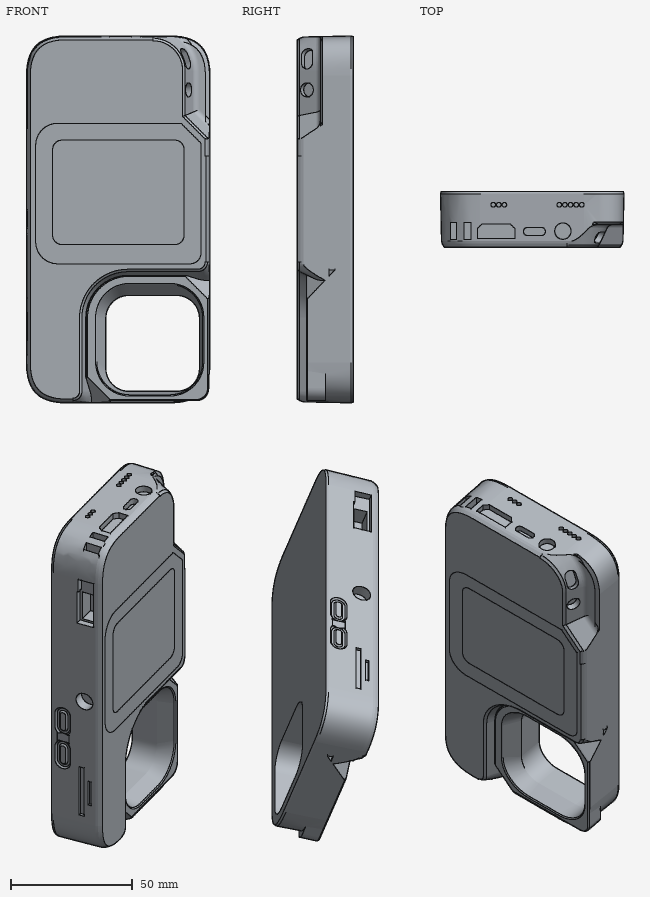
import cadquery as cq
import math


WIDTH = 75.29
HEIGHT = 150.48
DEPTH = 23.0
CORNER_LEG = 16.4
CORNER_FULLNESS = 0.69
HALF_W = WIDTH / 2
HALF_H = HEIGHT / 2
BACK_Y = DEPTH / 2
FRONT_Y = -DEPTH / 2

SHELL_PROFILE = [
    (BACK_Y, 0.3),
    (BACK_Y - 1.0, 0.0),
    (FRONT_Y + 2.6, 0.4),
    (FRONT_Y + 1.5, 0.75),
    (FRONT_Y + 0.6, 1.25),
    (FRONT_Y, 1.6),
]

BLOCK_BEVEL = 1.0
BLOCK_LEAN = 25.5
BLOCK_DEPTH = 12.0
BLOCK_MARGIN = 5.0
BLOCK_RIGHT = HALF_W - 2.0
BLOCK_TOP = HALF_H - 2.0
BLOCK_BOTTOM = -HALF_H + 2.0
BLOCK_SMALL_RADIUS = 3.0
BLOCK_FOOT_RADIUS = 2.6

NOTCH_X = 26.4
NOTCH_RADIUS = 12.2
NOTCH_RAMP_TOP = 42.2
NOTCH_FLOOR_Y = -2.0
NOTCH_FOOT_RADIUS = 2.9
NOTCH_RIM_WIDTH = 1.9
NOTCH_RIM_DEPTH = 1.0
NUDGE = 0.01

CAMERA_WALL_X = -15.9
CAMERA_WALL_Z = -20.4
CAMERA_WALL_RADIUS = 20.0
RING_Y = FRONT_Y + 3.75
RING_LEFT = -12.6
RING_RIGHT = 36.6
RING_TOP = -23.3
RING_BOTTOM = -73.8
RING_LARGE_RADIUS = 17.0
RING_CORNER_RADIUS = 4.5
RING_CORNER_BACK_Y = 0.0
RING_UPPER_LEG = 9.2
RING_LOWER_LEG = 9.2
RING_BEVEL = 0.5
RING_SLOPE_REACH = 9.0
RING_SLOPE_STEEPNESS = 1.3
OPENING_MOUTH = (12.9, -49.3, 44.4, 46.2, 14.0)
OPENING_THROAT = (14.1, -50.8, 38.3, 39.2, 9.3)
OPENING_BEVEL = 0.5
THROAT_Y = 0.0

INLAY_THICKNESS = 1.5
FRAME_LEFT = -33.85
FRAME_RIGHT = 33.95
FRAME_TOP = 39.4
FRAME_BOTTOM = -18.2
FRAME_RADIUS = 9.0
FRAME_UPPER_RIGHT_CHAMFER = 8.2
FRAME_LOWER_RIGHT_RADIUS = 4.5
PAD_LEFT = -26.9
PAD_RIGHT = 27.0
PAD_TOP = 32.5
PAD_BOTTOM = -10.3
PAD_RADIUS = 3.8

PORT_DEPTH = 3.0
SPEAKER_Y = 6.0
SPEAKER_RADIUS = 0.95
SPEAKER_PITCH = 2.3
SPEAKER_GROUPS = [(-16.0, 3), (11.1, 5)]
PLUG_CENTER = (-14.8, -4.9)
PLUG_SIZE = (15.3, 6.0)
PLUG_CHAMFER = 1.8
USB_CENTER = (0.9, -4.95)
USB_SIZE = (9.0, 3.3)
JACK_CENTER = (12.55, -4.8)
JACK_RADIUS = 3.35
VENT_Y = -4.75
VENT_LENGTH = 6.9
VENT_DEPTH = 8.0
VENTS = [(-32.2, 2.5), (-26.55, 2.9)]

WINDOW_CENTER = (-4.15, 44.9)
WINDOW_SIZE = (7.6, 15.2)
WINDOW_DEPTH = 3.0
WINDOW_INNER_CENTER = (-4.2, 44.7)
WINDOW_INNER_SIZE = (5.6, 13.0)
WINDOW_INNER_DEPTH = 10.0
WINDOW_TAIL_LENGTH = 6.1
WINDOW_TAIL_WIDTH = 7.0
SIDE_HOLE_CENTER = (-3.8, 0.15)
SIDE_HOLE_RADIUS = 3.85
SIDE_HOLE_DEPTH = 5.0
SIDE_SLOTS = [(-2.5, -43.9, 2.2, 23.4), (-6.2, -43.85, 1.4, 11.5)]
SIDE_SLOT_DEPTH = 1.5
BUTTON_Y = 6.1
BUTTON_Z = [-12.4, -28.5]
BUTTON_LENGTH = 13.6
BUTTON_GROOVE_WIDTH = 7.4
BUTTON_WIDTH = 3.8
BUTTON_DEPTH = 0.8
BUTTON_NECK = (5.6, 4.0)

KEY_HOLE_Z = 53.1
KEY_HOLE_RADIUS = 2.9
KEY_SLOT_ANGLE = 20.0
KEY_SLOT_SIZE = (8.8, 5.0)
KEY_DEPTH = 3.0
KEY_Y = -7.5

DIAGONAL = math.sqrt(0.5)


def facing(y):
    """Sketch plane at depth y whose extrusions run toward the front."""
    return cq.Workplane("XZ", origin=(0, y, 0))


def box_between(x, y, z):
    size = [pair[1] - pair[0] for pair in (x, y, z)]
    return cq.Workplane().box(*size, centered=False).translate((x[0], y[0], z[0]))


def shell_outline(inset):
    """Outline of the shell moved inward; its full corners ease into the straight sides."""
    half_w = HALF_W - inset
    half_h = HALF_H - inset
    leg = CORNER_LEG - inset
    near = leg * (1 - CORNER_FULLNESS)
    corners = [(1, 1), (-1, 1), (-1, -1), (1, -1)]
    outline = cq.Workplane("XZ").moveTo(half_w, half_h - leg)
    for i, (sx, sz) in enumerate(corners):
        on_side = [(sx * half_w, sz * (half_h - leg)), (sx * half_w, sz * (half_h - near))]
        on_end = [(sx * (half_w - near), sz * half_h), (sx * (half_w - leg), sz * half_h)]
        curve = on_side + on_end
        if i % 2:
            curve.reverse()
        if i:
            outline = outline.lineTo(*curve[0])
        outline = outline.bezier(curve)
    return outline.close().wire().val()


def shell_layer(back, front):
    """Slice of the shell between two (Y, inset) levels."""
    wires = [shell_outline(inset).translate(cq.Vector(0, y, 0)) for y, inset in (back, front)]
    return cq.Workplane(obj=cq.Solid.makeLoft(wires, True))


def shell():
    solid = None
    for back, front in zip(SHELL_PROFILE, SHELL_PROFILE[1:]):
        layer = shell_layer(back, front)
        solid = layer if solid is None else solid.union(layer)
    return solid


def block_wire(plane):
    """Front edge of the raised block; its left, top and bottom sides run past the shell."""
    far = HALF_W + BLOCK_MARGIN
    high = HALF_H + BLOCK_MARGIN
    arc_x = NOTCH_X - NOTCH_RADIUS
    arc_z = BLOCK_TOP - NOTCH_RADIUS
    jog_x = arc_x - 2 * BLOCK_MARGIN
    ramp_end_z = NOTCH_RAMP_TOP - (BLOCK_RIGHT - NOTCH_X)
    low_r = BLOCK_SMALL_RADIUS
    low_x = BLOCK_RIGHT - low_r
    low_z = CAMERA_WALL_Z + low_r
    cam_r = CAMERA_WALL_RADIUS
    cam_x = CAMERA_WALL_X + cam_r
    cam_z = CAMERA_WALL_Z - cam_r
    foot_r = BLOCK_FOOT_RADIUS
    foot_x = CAMERA_WALL_X - foot_r
    foot_z = BLOCK_BOTTOM + foot_r
    return (
        plane.moveTo(-far, high)
        .lineTo(jog_x, high)
        .lineTo(jog_x, BLOCK_TOP)
        .lineTo(arc_x, BLOCK_TOP)
        .threePointArc((arc_x + DIAGONAL * NOTCH_RADIUS, arc_z + DIAGONAL * NOTCH_RADIUS), (NOTCH_X, arc_z))
        .lineTo(NOTCH_X, NOTCH_RAMP_TOP)
        .lineTo(BLOCK_RIGHT, ramp_end_z)
        .lineTo(BLOCK_RIGHT, low_z)
        .threePointArc((low_x + DIAGONAL * low_r, low_z - DIAGONAL * low_r), (low_x, CAMERA_WALL_Z))
        .lineTo(cam_x, CAMERA_WALL_Z)
        .threePointArc((cam_x - DIAGONAL * cam_r, cam_z + DIAGONAL * cam_r), (CAMERA_WALL_X, cam_z))
        .lineTo(CAMERA_WALL_X, foot_z)
        .threePointArc((foot_x + DIAGONAL * foot_r, foot_z - DIAGONAL * foot_r), (foot_x, BLOCK_BOTTOM))
        .lineTo(foot_x - BLOCK_MARGIN, BLOCK_BOTTOM)
        .lineTo(foot_x - BLOCK_MARGIN, -high)
        .lineTo(-far, -high)
        .close()
    )


def front_block():
    bevel = block_wire(facing(FRONT_Y)).extrude(-BLOCK_BEVEL, taper=-45)
    foot = bevel.faces(">Y").wires().toPending().workplane()
    return bevel.union(foot.extrude(BLOCK_DEPTH, taper=-BLOCK_LEAN))


def notch_tool(block):
    """Upper right corner in front of the notch floor, apart from the raised block."""
    left = NOTCH_X - NOTCH_RADIUS
    bottom = NOTCH_RAMP_TOP - (HALF_W - NOTCH_X) - BLOCK_MARGIN
    far = HALF_W + BLOCK_MARGIN
    high = HALF_H + BLOCK_MARGIN
    cut = box_between((left, far), (FRONT_Y, NOTCH_FLOOR_Y), (bottom, high)).cut(block)
    foot = cq.selectors.BoxSelector(
        (left + NUDGE, NOTCH_FLOOR_Y - NUDGE, bottom + NUDGE), (far - NUDGE, NOTCH_FLOOR_Y + NUDGE, high - NUDGE)
    )
    cut = cut.edges(foot).fillet(NOTCH_FOOT_RADIUS)
    rim_y = NOTCH_FLOOR_Y + NOTCH_RIM_DEPTH
    outside = shell_layer((rim_y, 0.0), (NOTCH_FLOOR_Y, 0.0))
    inside = shell_layer((rim_y, 0.0), (NOTCH_FLOOR_Y, NOTCH_RIM_WIDTH))
    corner = box_between((left, far), (NOTCH_FLOOR_Y, rim_y), (bottom, high))
    return cut.union(outside.cut(inside).intersect(corner).cut(block))


def ring_rim():
    """Top edge of the camera ring: two beveled corners, two rounded ones."""
    large_r = RING_LARGE_RADIUS
    small_r = RING_CORNER_RADIUS
    arc_x = RING_LEFT + large_r
    arc_z = RING_TOP - large_r
    corner_x = RING_RIGHT - small_r
    corner_z = RING_BOTTOM + small_r
    return (
        facing(RING_Y)
        .moveTo(RING_LEFT, RING_BOTTOM + RING_LOWER_LEG)
        .lineTo(RING_LEFT, arc_z)
        .threePointArc((arc_x - DIAGONAL * large_r, arc_z + DIAGONAL * large_r), (arc_x, RING_TOP))
        .lineTo(RING_RIGHT - RING_UPPER_LEG, RING_TOP)
        .lineTo(RING_RIGHT, RING_TOP - RING_UPPER_LEG)
        .lineTo(RING_RIGHT, corner_z)
        .threePointArc((corner_x + DIAGONAL * small_r, corner_z - DIAGONAL * small_r), (corner_x, RING_BOTTOM))
        .lineTo(RING_LEFT + RING_LOWER_LEG, RING_BOTTOM)
        .close()
    )


def ring_slope(middle_x, middle_z, outward):
    """Wedge that falls away steeply from a beveled corner of the ring; outward is +1 or -1 along X and Z."""
    reach = RING_SLOPE_REACH
    drop = RING_SLOPE_REACH * RING_SLOPE_STEEPNESS
    direction = (outward, 0, outward)
    plane = cq.Plane(origin=(middle_x, RING_Y, middle_z), xDir=direction, normal=(-outward, 0, outward))
    back = plane.yDir.y
    bevel_foot = (RING_BEVEL, RING_BEVEL * back)
    wedge = cq.Workplane(plane).polyline([bevel_foot, (reach, RING_BEVEL * back), (reach, drop * back)]).close()
    return wedge.extrude(reach, both=True)


def camera_tool(block):
    """Lower right region in front of the camera ring, with two sloped corners, apart from the raised block."""
    x_range = (CAMERA_WALL_X - BLOCK_FOOT_RADIUS, HALF_W + BLOCK_MARGIN)
    z_range = (-HALF_H - BLOCK_MARGIN, CAMERA_WALL_Z + BLOCK_SMALL_RADIUS)
    slab = box_between(x_range, (FRONT_Y, RING_Y + RING_BEVEL), z_range)
    rim = ring_rim().extrude(-RING_BEVEL, taper=-45)
    upper = ring_slope(RING_RIGHT - RING_UPPER_LEG / 2, RING_TOP - RING_UPPER_LEG / 2, 1)
    lower = ring_slope(RING_LEFT + RING_LOWER_LEG / 2, RING_BOTTOM + RING_LOWER_LEG / 2, -1)
    return slab.cut(rim).union(upper).union(lower).cut(block)


def ring_corner():
    """Squarer lower right corner of the camera ring, standing out past the shell's rounded corner."""
    right = RING_RIGHT + RING_BEVEL
    bottom = RING_BOTTOM - RING_BEVEL
    corner = box_between(
        (right - CORNER_LEG, right), (RING_Y, RING_CORNER_BACK_Y), (bottom, bottom + CORNER_LEG)
    )
    return corner.edges("|Y and >X and <Z").fillet(RING_CORNER_RADIUS + RING_BEVEL)


def opening_layer(back, front):
    """Slice of the camera opening between two (Y, section) levels."""
    sections = []
    for y, (x, z, width, height, radius) in (back, front):
        sketch = cq.Sketch().rect(width, height).vertices().fillet(radius)
        sections.append(sketch.moved(cq.Location(cq.Vector(x, z, -y))))
    return cq.Workplane("XZ").placeSketch(*sections).loft()


def camera_opening():
    """Beveled mouth, tapering walls and a straight throat through the back."""
    x, z, width, height, radius = OPENING_MOUTH
    bevel = OPENING_BEVEL
    neck = (x, z, width - 2 * bevel, height - 2 * bevel, radius - bevel)
    rim = opening_layer((RING_Y + bevel, neck), (RING_Y, OPENING_MOUTH))
    taper = opening_layer((THROAT_Y, OPENING_THROAT), (RING_Y + bevel, neck))
    straight = opening_layer((BACK_Y, OPENING_THROAT), (THROAT_Y, OPENING_THROAT))
    return taper.union(rim).union(straight)


def pad_blank():
    return (
        box_between((PAD_LEFT, PAD_RIGHT), (FRONT_Y, FRONT_Y + INLAY_THICKNESS), (PAD_BOTTOM, PAD_TOP))
        .edges("|Y")
        .fillet(PAD_RADIUS)
    )


def frame_blank():
    return (
        box_between((FRAME_LEFT, FRAME_RIGHT), (FRONT_Y, FRONT_Y + INLAY_THICKNESS), (FRAME_BOTTOM, FRAME_TOP))
        .edges("|Y and <X")
        .fillet(FRAME_RADIUS)
        .edges("|Y and >X and <Z")
        .fillet(FRAME_LOWER_RIGHT_RADIUS)
        .edges("|Y and >X and >Z")
        .chamfer(FRAME_UPPER_RIGHT_CHAMFER)
    )


def from_top(depth, x, y):
    """Sketch plane sunk into the top so that an upward extrusion cuts out through it."""
    return cq.Workplane("XY", origin=(x, y, HALF_H - depth))


def top_openings():
    tools = []
    for first_x, count in SPEAKER_GROUPS:
        for i in range(count):
            hole = from_top(PORT_DEPTH, first_x + i * SPEAKER_PITCH, SPEAKER_Y)
            tools.append(hole.circle(SPEAKER_RADIUS).extrude(PORT_DEPTH))
    plug = from_top(PORT_DEPTH, *PLUG_CENTER).rect(*PLUG_SIZE).extrude(PORT_DEPTH)
    tools.append(plug.edges("|Z and >Y").chamfer(PLUG_CHAMFER))
    tools.append(from_top(PORT_DEPTH, *USB_CENTER).slot2D(*USB_SIZE).extrude(PORT_DEPTH))
    tools.append(from_top(PORT_DEPTH, *JACK_CENTER).circle(JACK_RADIUS).extrude(PORT_DEPTH))
    for x, width in VENTS:
        tools.append(from_top(VENT_DEPTH, x, VENT_Y).rect(width, VENT_LENGTH).extrude(VENT_DEPTH))
    return tools


def from_left(depth, y, z):
    """Sketch plane sunk into the left side, local x along -Y and local y along Z, extruding outward."""
    return cq.Workplane(cq.Plane(origin=(depth - HALF_W, y, z), xDir=(0, -1, 0), normal=(-1, 0, 0)))


def left_openings():
    tools = [
        from_left(WINDOW_DEPTH, *WINDOW_CENTER).rect(*WINDOW_SIZE).extrude(WINDOW_DEPTH),
        from_left(WINDOW_INNER_DEPTH, *WINDOW_INNER_CENTER).rect(*WINDOW_INNER_SIZE).extrude(WINDOW_INNER_DEPTH),
        from_left(SIDE_HOLE_DEPTH, *SIDE_HOLE_CENTER).circle(SIDE_HOLE_RADIUS).extrude(SIDE_HOLE_DEPTH),
    ]
    window_y, window_z = WINDOW_CENTER
    tail_y = window_y - (WINDOW_SIZE[0] - WINDOW_TAIL_WIDTH) / 2
    tail_z = window_z + (WINDOW_SIZE[1] + WINDOW_TAIL_LENGTH) / 2
    tail = from_left(WINDOW_DEPTH, tail_y, tail_z)
    tools.append(tail.rect(WINDOW_TAIL_WIDTH, WINDOW_TAIL_LENGTH).extrude(WINDOW_DEPTH))
    for y, z, width, length in SIDE_SLOTS:
        slot = from_left(SIDE_SLOT_DEPTH, y, z).rect(width, length)
        tools.append(slot.extrude(SIDE_SLOT_DEPTH))
    return tools


def button_grooves():
    """Two linked grooves with sloped sides, each leaving a button standing inside."""

    def pill(z, width):
        length = BUTTON_LENGTH - BUTTON_GROOVE_WIDTH + width
        return from_left(BUTTON_DEPTH, BUTTON_Y, z).slot2D(length, width, 90)

    neck_z = sum(BUTTON_Z) / len(BUTTON_Z)
    tool = from_left(BUTTON_DEPTH, BUTTON_Y, neck_z).rect(*BUTTON_NECK).extrude(BUTTON_DEPTH)
    for z in BUTTON_Z:
        tool = tool.union(pill(z, BUTTON_GROOVE_WIDTH - 2 * BUTTON_DEPTH).extrude(BUTTON_DEPTH, taper=-45))
    for z in BUTTON_Z:
        tool = tool.cut(pill(z, BUTTON_WIDTH).extrude(BUTTON_DEPTH, taper=45))
    return tool


def notch_wall_plane(x, z, angle):
    """Plane on the leaning notch wall, its normal pointing out of the wall and local x along the wall."""
    lean = math.radians(BLOCK_LEAN)
    turn = math.radians(angle)
    normal = (math.cos(lean) * math.cos(turn), -math.sin(lean), math.cos(lean) * math.sin(turn))
    along = (-math.sin(turn), 0, math.cos(turn))
    return cq.Workplane(cq.Plane(origin=(x, KEY_Y, z), xDir=along, normal=normal))


def notch_wall_openings():
    lean_out = BLOCK_BEVEL + (KEY_Y - FRONT_Y - BLOCK_BEVEL) * math.tan(math.radians(BLOCK_LEAN))
    hole = notch_wall_plane(NOTCH_X + lean_out, KEY_HOLE_Z, 0).circle(KEY_HOLE_RADIUS)
    reach = NOTCH_RADIUS + lean_out
    turn = math.radians(KEY_SLOT_ANGLE)
    slot_x = NOTCH_X - NOTCH_RADIUS + reach * math.cos(turn)
    slot_z = BLOCK_TOP - NOTCH_RADIUS + reach * math.sin(turn)
    slot = notch_wall_plane(slot_x, slot_z, KEY_SLOT_ANGLE).slot2D(*KEY_SLOT_SIZE)
    return [shape.extrude(KEY_DEPTH, both=True) for shape in (hole, slot)]


def housing():
    block = front_block()
    solid = shell().union(ring_corner()).cut(notch_tool(block)).cut(camera_tool(block)).cut(camera_opening())
    for tool in top_openings() + left_openings() + notch_wall_openings():
        solid = solid.cut(tool)
    return solid.cut(button_grooves()).cut(frame_blank())


pad = pad_blank()
frame = frame_blank().cut(pad)
case = housing()

result = cq.Compound.makeCompound([case.val(), frame.val(), pad.val()])